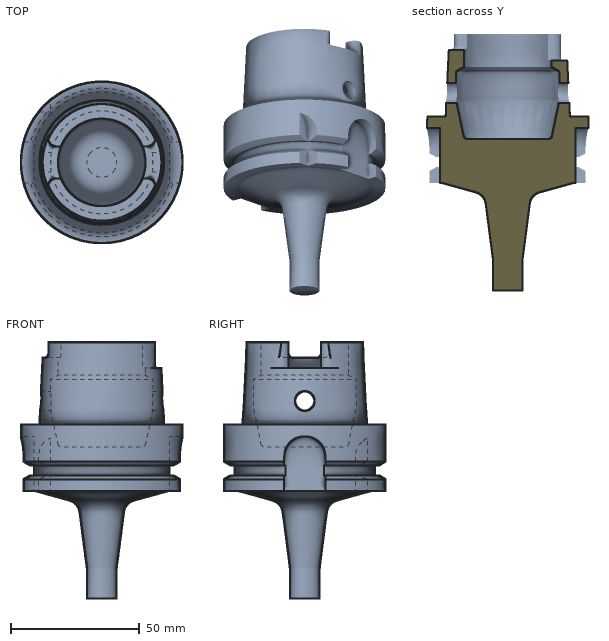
import cadquery as cq
import math


TAPER_HEIGHT = 32.0
TAPER_BASE_RADIUS = 24.3
TAPER_TOP_RADIUS = 22.72

FLANGE_RADIUS = 62.94 / 2
FLANGE_DEPTH = 26.0
GROOVE_CENTER_DEPTH = 17.95
GROOVE_MOUTH_WIDTH = 6.92
GROOVE_FLOOR_WIDTH = 3.96
GROOVE_LIP_RADIUS = 28.9
GROOVE_RADIUS = 27.45

BACK_CONE_RADIUS = 25.7
BACK_CONE_ANGLE = 15.5
NECK_TOP_RADIUS = 9.1
NECK_FILLET = 5.0
PIN_RADIUS = 11.6 / 2
PIN_LENGTH = 11.9
TOTAL_HEIGHT = 99.9
TIP_DEPTH = TOTAL_HEIGHT - TAPER_HEIGHT
PIN_TOP_DEPTH = TIP_DEPTH - PIN_LENGTH

BORE_RADIUS = 34.05 / 2
BORE_ENTRY_LENGTH = 12.9
CHAMBER_RADIUS = 40.08 / 2
CLAMP_SHOULDER_ANGLE = 30.0
CHAMBER_END_Z = 6.4
BORE_FLOOR_Z = -8.8
BORE_FLOOR_RADIUS = 16.87
BORE_FLOOR_FILLET = 1.45

CROSS_HOLE_DIAMETER = 7.5
CROSS_HOLE_Z = 9.05

RIM_SLOT_HALF_WIDTH = 6.25
RIM_SLOT_CORNER = 3.0
RIM_SLOT_TANGENT_RADIUS = 23.08
SHALLOW_SLOT_DEPTH = 6.05
SHALLOW_SLOT_FILLET = 1.4
DEEP_SLOT_DEPTH = 10.1

KEYWAY_RADIUS = 8.0
KEYWAY_TOP_DEPTH = 4.7
KEYWAY_FLOOR_X = 26.4
NOTCH_FLOOR_X = 19.87
NOTCH_WALL_Y = 19.67

CLEARANCE = 10.0


def revolve_profile(points):
    """Revolve a closed (radius, z) outline about the Z axis."""
    return cq.Workplane("XZ").polyline(points).close().revolve(360, (0, 0, 0), (0, 1, 0))


def holder_body():
    mouth_top_z = -GROOVE_CENTER_DEPTH + GROOVE_MOUTH_WIDTH / 2
    mouth_bottom_z = -GROOVE_CENTER_DEPTH - GROOVE_MOUTH_WIDTH / 2
    floor_top_z = -GROOVE_CENTER_DEPTH + GROOVE_FLOOR_WIDTH / 2
    floor_bottom_z = -GROOVE_CENTER_DEPTH - GROOVE_FLOOR_WIDTH / 2
    cone_drop = (BACK_CONE_RADIUS - NECK_TOP_RADIUS) * math.tan(math.radians(BACK_CONE_ANGLE))
    body = revolve_profile([
        (0, TAPER_HEIGHT),
        (TAPER_TOP_RADIUS, TAPER_HEIGHT),
        (TAPER_BASE_RADIUS, 0),
        (FLANGE_RADIUS, 0),
        (FLANGE_RADIUS, mouth_top_z),
        (GROOVE_LIP_RADIUS, floor_top_z),
        (GROOVE_RADIUS, floor_top_z),
        (GROOVE_RADIUS, floor_bottom_z),
        (GROOVE_LIP_RADIUS, floor_bottom_z),
        (FLANGE_RADIUS, mouth_bottom_z),
        (FLANGE_RADIUS, -FLANGE_DEPTH),
        (BACK_CONE_RADIUS, -FLANGE_DEPTH),
        (NECK_TOP_RADIUS, -FLANGE_DEPTH - cone_drop),
        (PIN_RADIUS, -PIN_TOP_DEPTH),
        (PIN_RADIUS, -TIP_DEPTH),
        (0, -TIP_DEPTH),
    ])
    second_smallest = cq.selectors.RadiusNthSelector(1)
    neck_corner = body.edges("%CIRCLE").edges(second_smallest)
    return neck_corner.fillet(NECK_FILLET)


def bore():
    entry_end_z = TAPER_HEIGHT - BORE_ENTRY_LENGTH
    shoulder_drop = (CHAMBER_RADIUS - BORE_RADIUS) * math.tan(math.radians(CLAMP_SHOULDER_ANGLE))
    cavity = revolve_profile([
        (0, TAPER_HEIGHT),
        (BORE_RADIUS, TAPER_HEIGHT),
        (BORE_RADIUS, entry_end_z),
        (CHAMBER_RADIUS, entry_end_z - shoulder_drop),
        (CHAMBER_RADIUS, CHAMBER_END_Z),
        (BORE_FLOOR_RADIUS, BORE_FLOOR_Z),
        (0, BORE_FLOOR_Z),
    ])
    return cavity.faces("<Z").edges().fillet(BORE_FLOOR_FILLET)


def cross_hole():
    return (
        cq.Workplane("YZ")
        .center(0, CROSS_HOLE_Z)
        .circle(CROSS_HOLE_DIAMETER / 2)
        .extrude(TAPER_BASE_RADIUS, both=True)
    )


def rim_slot(side, depth):
    """Slot through the shank rim on the +X (side = 1) or -X (side = -1) side.

    Each wall ends in a rounded corner that blends into a circle about the axis,
    then runs straight out along the tangent of that circle.
    """
    corner_y = RIM_SLOT_HALF_WIDTH + RIM_SLOT_CORNER
    corner_distance = RIM_SLOT_TANGENT_RADIUS - RIM_SLOT_CORNER
    corner_x = math.sqrt(corner_distance**2 - corner_y**2)
    sweep = math.pi / 2 + math.asin(corner_y / corner_distance)

    def on_corner(turn):
        return (
            corner_x + RIM_SLOT_CORNER * math.sin(turn),
            corner_y - RIM_SLOT_CORNER * math.cos(turn),
        )

    inner = (0, RIM_SLOT_HALF_WIDTH)
    wall_end = on_corner(0)
    arc_middle = on_corner(sweep / 2)
    arc_end = on_corner(sweep)
    run_out = (
        arc_end[0] + CLEARANCE * math.cos(sweep),
        arc_end[1] + CLEARANCE * math.sin(sweep),
    )
    outer = (TAPER_BASE_RADIUS + CLEARANCE, run_out[1])

    def at(point, half):
        return (side * point[0], half * point[1])

    return (
        cq.Workplane("XY", origin=(0, 0, TAPER_HEIGHT - depth))
        .moveTo(*at(inner, 1))
        .lineTo(*at(wall_end, 1))
        .threePointArc(at(arc_middle, 1), at(arc_end, 1))
        .lineTo(*at(run_out, 1))
        .lineTo(*at(outer, 1))
        .lineTo(*at(outer, -1))
        .lineTo(*at(run_out, -1))
        .lineTo(*at(arc_end, -1))
        .threePointArc(at(arc_middle, -1), at(wall_end, -1))
        .lineTo(*at(inner, -1))
        .close()
        .extrude(depth + CLEARANCE)
    )


def shallow_rim_slot():
    return rim_slot(-1, SHALLOW_SLOT_DEPTH).faces("<Z").edges().fillet(SHALLOW_SLOT_FILLET)


def deep_rim_slot():
    return rim_slot(1, DEEP_SLOT_DEPTH)


def keyway(side, floor_x, center_y):
    """Round-topped slot cut along X, open at the underside of the flange."""
    center_z = -KEYWAY_TOP_DEPTH - KEYWAY_RADIUS
    bottom_z = -FLANGE_DEPTH
    return (
        cq.Workplane("YZ", origin=(side * floor_x, 0, 0))
        .moveTo(center_y - KEYWAY_RADIUS, bottom_z)
        .lineTo(center_y - KEYWAY_RADIUS, center_z)
        .threePointArc((center_y, center_z + KEYWAY_RADIUS), (center_y + KEYWAY_RADIUS, center_z))
        .lineTo(center_y + KEYWAY_RADIUS, bottom_z)
        .close()
        .extrude(side * (FLANGE_RADIUS + CLEARANCE - floor_x))
    )


result = (
    holder_body()
    .cut(bore())
    .cut(cross_hole())
    .cut(shallow_rim_slot())
    .cut(deep_rim_slot())
    .cut(keyway(-1, KEYWAY_FLOOR_X, 0))
    .cut(keyway(1, KEYWAY_FLOOR_X, 0))
    .cut(keyway(-1, NOTCH_FLOOR_X, NOTCH_WALL_Y + KEYWAY_RADIUS))
)